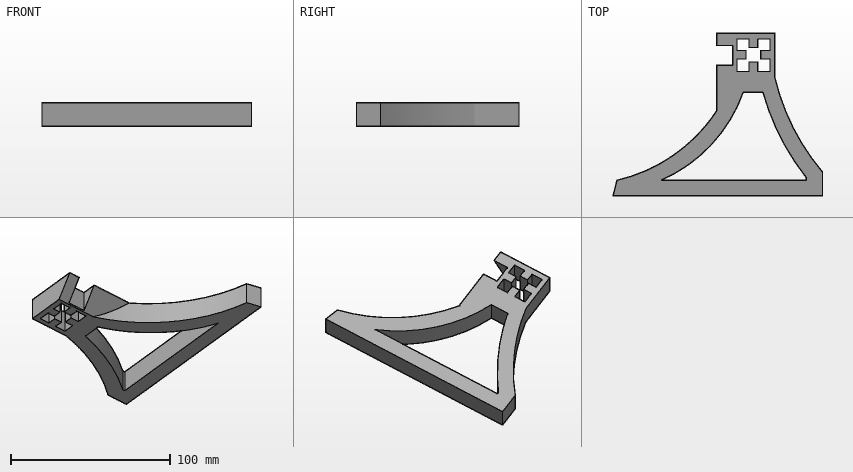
import cadquery as cq
import math

length = 131.5
depth = 102.0
thickness = 15.0

foot_height = 9.9
foot_slant = 2.5
right_shoulder_height = 15.0
left_leg_center = (-20.4, 109.5)
left_leg_radius = 102.3
right_leg_middle = (115.2, 38.8)

head_left = 65.1
head_right = 101.6
head_right_start = 74.2
undercut_angle = 35.0
undercut_inset = thickness * math.tan(math.radians(undercut_angle))

window_left = 30.5
window_right = 121.2
window_right_top = 11.5
window_top = 65.0
window_top_left = 81.8
window_top_right = 94.0
window_left_middle = (67.6, 38.9)
window_right_middle = (109.7, 28.3)

notch_bottom = 82.0
notch_height = 12.2
notch_depth = 10.0

socket_left = 77.8
socket_bottom = 78.1
socket_width = 20.5
socket_height = 20.1
rib_width = 5.5
rib_gap = 9.1
rib_center_x = 88.1
rib_center_y = 88.5


def block(left, bottom, width, height):
    """Full-thickness rectangular block with its lower-left corner given."""
    return cq.Workplane("XY").box(width, height, thickness, centered=False).translate((left, bottom, 0))


def make_blank():
    """Plate with the foot's slanted end and the right leg, before the left side is hollowed."""
    return (
        cq.Workplane("XY")
        .lineTo(length, 0)
        .lineTo(length, right_shoulder_height)
        .threePointArc(right_leg_middle, (head_right, head_right_start))
        .lineTo(head_right, depth)
        .lineTo(foot_slant * depth / foot_height, depth)
        .close()
        .extrude(thickness)
    )


def make_left_hollow():
    """Cylinder that hollows the left leg, less the head, whose left wall slopes inward toward the bottom."""
    cylinder = cq.Workplane("XY").center(*left_leg_center).circle(left_leg_radius).extrude(thickness)
    head = (
        cq.Workplane("XZ", origin=(0, depth, 0))
        .moveTo(head_left + undercut_inset, 0)
        .lineTo(head_right, 0)
        .lineTo(head_right, thickness)
        .lineTo(head_left, thickness)
        .close()
        .extrude(depth)
    )
    return cylinder.cut(head)


def make_window():
    return (
        cq.Workplane("XY")
        .moveTo(window_left, foot_height)
        .lineTo(window_right, foot_height)
        .lineTo(window_right, window_right_top)
        .threePointArc(window_right_middle, (window_top_right, window_top))
        .lineTo(window_top_left, window_top)
        .threePointArc(window_left_middle, (window_left, foot_height))
        .close()
        .extrude(thickness)
    )


def make_socket():
    socket = block(socket_left, socket_bottom, socket_width, socket_height)
    gap_left = rib_center_x - rib_gap / 2
    gap_right = rib_center_x + rib_gap / 2
    gap_bottom = rib_center_y - rib_gap / 2
    gap_top = rib_center_y + rib_gap / 2
    socket_right = socket_left + socket_width
    socket_top = socket_bottom + socket_height
    for left, right in ((socket_left, gap_left), (gap_right, socket_right)):
        socket = socket.cut(block(left, rib_center_y - rib_width / 2, right - left, rib_width))
    for bottom, top in ((socket_bottom, gap_bottom), (gap_top, socket_top)):
        socket = socket.cut(block(rib_center_x - rib_width / 2, bottom, rib_width, top - bottom))
    return socket


notch = block(head_left, notch_bottom, notch_depth, notch_height)
result = make_blank().cut(make_left_hollow()).cut(make_window()).cut(notch).cut(make_socket())